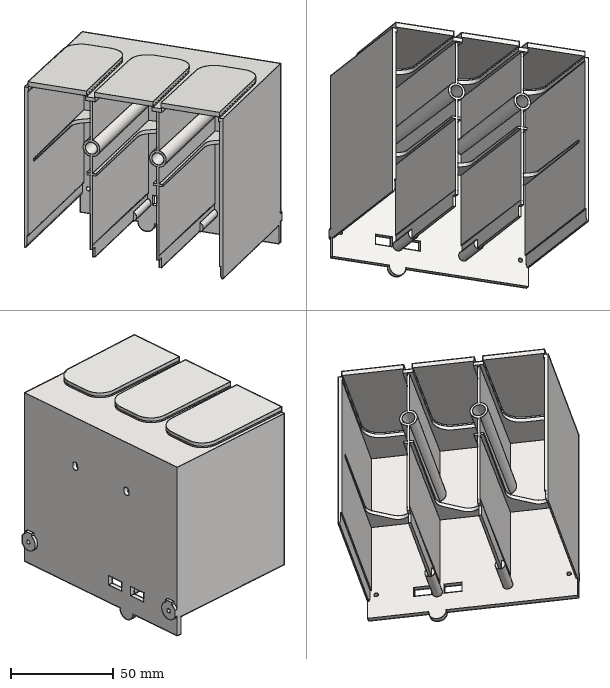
import cadquery as cq
import math

width = 104.7
depth = 74.5
body_top = 94.8
side_bottom = 9.7
front_y = 0.0
back_y = front_y + depth
half_width = width / 2

wall = 1.9
back_wall = 2.6
top_front = 2.0
top_rear = 2.5
inner_back_y = back_y - back_wall
lip_top = 16.0
lip_thickness = 1.3
lip_edge = 0.7
lip_bevel = 1.7

bay_pitch = 35.1
bay_centers = [-bay_pitch, 0, bay_pitch]
divider_centers = [-bay_pitch / 2, bay_pitch / 2]

cover_front_width = 30.9
cover_rear_width = 30.4
cover_rear_y = back_y - 19.7
cover_corner = 9.4
cover_skin = 0.4
cover_front_top = body_top + 3.0
cover_rear_top = body_top + 2.6
cover_ceiling = body_top + 0.5

divider_front_y = front_y + 1.3
divider_front_thickness = 1.3
divider_rear_thickness = 2.6
divider_lip_rear_thickness = 1.6
divider_bottom = 8.5
notch_top = 13.6
notch_rear_y = front_y + 4.3

tube_z = 67.3
tube_radius = 4.4
bore_front_radius = 3.1
bore_rear_radius = 2.5
screw_slot_width = 3.4
screw_slot_height = 4.4

shelf_z = 53.5
shelf_front_thickness = 1.2
shelf_rear_thickness = 2.2
shelf_front_y = front_y + 7.3
opening_width = 30.3
opening_tip_y = inner_back_y - 3.1
opening_corner_radius = 6.3
opening_angle = 34
opening_slope = math.tan(math.radians(opening_angle))

pin_z = 10.6
pin_radius = 2.5
pin_length = 18.5

slot_width = 8.9
slot_height = 5.1
slot_bottom = 9.8
slot_left_edges = [-29.3, -14.2]
tab_radius = 4.4
tab_drop = 4.6
foot_x = 48.1
foot_z = 13.1
foot_radius = 4.7
foot_thickness = 1.7
foot_key_width = 4.3
foot_key_height = 5.4
foot_hole_radius = 1.0


def block(x0, x1, y0, y1, z0, z1):
    return cq.Workplane("XY").box(x1 - x0, y1 - y0, z1 - z0, centered=False).translate((x0, y0, z0))


def rod(x, z, radius, y0, y1):
    """Cylinder along Y."""
    return cq.Workplane("XZ", origin=(x, y0, z)).circle(radius).extrude(y0 - y1)


def top_plate():
    """Top plate, slightly thicker towards the back."""
    profile = [
        (front_y, body_top),
        (back_y, body_top),
        (back_y, body_top - top_rear),
        (front_y, body_top - top_front),
    ]
    return cq.Workplane("YZ", origin=(-half_width, 0, 0)).polyline(profile).close().extrude(width)


def side_wall(side):
    """Side wall whose inner face steps back to a bevelled lip at the bottom; side is -1 or 1."""
    profile = [
        (0, body_top),
        (wall, body_top),
        (wall, lip_top),
        (lip_thickness, lip_top),
        (lip_thickness, side_bottom + lip_bevel),
        (lip_edge, side_bottom),
        (0, side_bottom),
    ]
    points = [(side * (half_width - inset), z) for inset, z in profile]
    return cq.Workplane("XZ", origin=(0, front_y, 0)).polyline(points).close().extrude(-depth)


def cover_outline(center, inset):
    """Outline that narrows towards its rounded rear end; inset moves the sides and rear inwards."""
    front_half = cover_front_width / 2 - inset
    rear_half = cover_rear_width / 2 - inset
    rear_y = cover_rear_y - inset
    points = [
        (center - front_half, front_y),
        (center + front_half, front_y),
        (center + rear_half, rear_y),
        (center - rear_half, rear_y),
    ]
    return cq.Workplane("XY").polyline(points).close()


def rounded_cover(center, inset, z0, z1):
    plate = cover_outline(center, inset).extrude(z1 - z0).edges("|Z and >Y").fillet(cover_corner - inset)
    return plate.translate((0, 0, z0))


def cover(center):
    """Raised cover whose top falls gently from front to rear."""
    raised = rounded_cover(center, 0, body_top, cover_front_top)
    fall = [
        (front_y, cover_front_top),
        (cover_rear_y, cover_front_top),
        (cover_rear_y, cover_rear_top),
    ]
    wedge = cq.Workplane("YZ", origin=(-half_width, 0, 0)).polyline(fall).close().extrude(width)
    return raised.cut(wedge)


def cover_recess(center):
    return rounded_cover(center, cover_skin, body_top - top_rear, cover_ceiling)


def tapered_web(center, rear_thickness, z0, z1):
    """Vertical web that thickens from the front edge to the back wall."""
    front_half = divider_front_thickness / 2
    rear_half = rear_thickness / 2
    points = [
        (center - front_half, divider_front_y),
        (center + front_half, divider_front_y),
        (center + rear_half, inner_back_y),
        (center - rear_half, inner_back_y),
    ]
    return cq.Workplane("XY", origin=(0, 0, z0)).polyline(points).close().extrude(z1 - z0)


def divider(center):
    upper = tapered_web(center, divider_rear_thickness, lip_top, body_top - top_front)
    lip = tapered_web(center, divider_lip_rear_thickness, divider_bottom, lip_top)
    notch = block(center - wall, center + wall, front_y, notch_rear_y, divider_bottom, notch_top)
    pin = rod(center, pin_z, pin_radius, inner_back_y - pin_length, inner_back_y)
    tube = rod(center, tube_z, tube_radius, divider_front_y, inner_back_y)
    return upper.union(lip.cut(notch)).union(pin).union(tube)


def screw_bore(center):
    """Tapered bore of a screw tube, ending in an upright slot through the back wall."""
    length = inner_back_y - divider_front_y
    bore = (
        cq.Workplane("XZ", origin=(center, divider_front_y, tube_z))
        .circle(bore_front_radius)
        .workplane(offset=-length)
        .circle(bore_rear_radius)
        .loft()
    )
    slot = (
        cq.Workplane("XZ", origin=(center, inner_back_y, tube_z))
        .slot2D(screw_slot_height, screw_slot_width, 90)
        .extrude(-back_wall)
    )
    return bore.union(slot)


def shelf_opening(center):
    """Opening with straight sides and a shallow V at the rear, rounded at its tip and shoulders."""
    half = opening_width / 2
    shoulder_y = opening_tip_y - half * opening_slope
    points = [
        (center - half, front_y),
        (center + half, front_y),
        (center + half, shoulder_y),
        (center, opening_tip_y),
        (center - half, shoulder_y),
    ]
    base_z = shelf_z - shelf_rear_thickness / 2
    opening = cq.Workplane("XY", origin=(0, 0, base_z)).polyline(points).close().extrude(shelf_rear_thickness)
    return opening.edges("|Z and (not <Y)").fillet(opening_corner_radius)


def shelf():
    """Shelf along the back wall, thinner to the front, continued as ribs on the side walls and dividers."""
    front_half = shelf_front_thickness / 2
    rear_half = shelf_rear_thickness / 2
    profile = [
        (divider_front_y, shelf_z - front_half),
        (divider_front_y, shelf_z + front_half),
        (inner_back_y, shelf_z + rear_half),
        (inner_back_y, shelf_z - rear_half),
    ]
    inner_half = half_width - wall
    plate = cq.Workplane("YZ", origin=(-inner_half, 0, 0)).polyline(profile).close().extrude(2 * inner_half)
    for center in bay_centers:
        plate = plate.cut(shelf_opening(center))
    for x0, x1 in ((-half_width, -bay_pitch), (bay_pitch, half_width)):
        plate = plate.cut(block(x0, x1, front_y, shelf_front_y, 0, body_top))
    return plate


def foot(center):
    """Round foot with a short key on top, trimmed flush with the side of the box."""
    rear_y = back_y + foot_thickness
    key_half = foot_key_width / 2
    disc = rod(center, foot_z, foot_radius, back_y, rear_y)
    key = block(center - key_half, center + key_half, back_y, rear_y, foot_z, foot_z + foot_key_height)
    envelope = block(-half_width, half_width, back_y, rear_y, 0, body_top)
    return disc.union(key).intersect(envelope)


body = block(-half_width, half_width, inner_back_y, back_y, 0, body_top).union(top_plate())
for side in (-1, 1):
    body = body.union(side_wall(side)).union(foot(side * foot_x))

for center in bay_centers:
    body = body.union(cover(center))
for center in bay_centers:
    body = body.cut(cover_recess(center))

for center in divider_centers:
    body = body.union(divider(center))
body = body.union(shelf())

body = body.union(rod(divider_centers[0], tab_radius - tab_drop, tab_radius, inner_back_y, back_y))

for center in divider_centers:
    body = body.cut(screw_bore(center))

for left in slot_left_edges:
    body = body.cut(
        block(left, left + slot_width, inner_back_y, back_y, slot_bottom, slot_bottom + slot_height)
    )

for side in (-1, 1):
    body = body.cut(rod(side * foot_x, foot_z, foot_hole_radius, inner_back_y, back_y + foot_thickness))

result = body